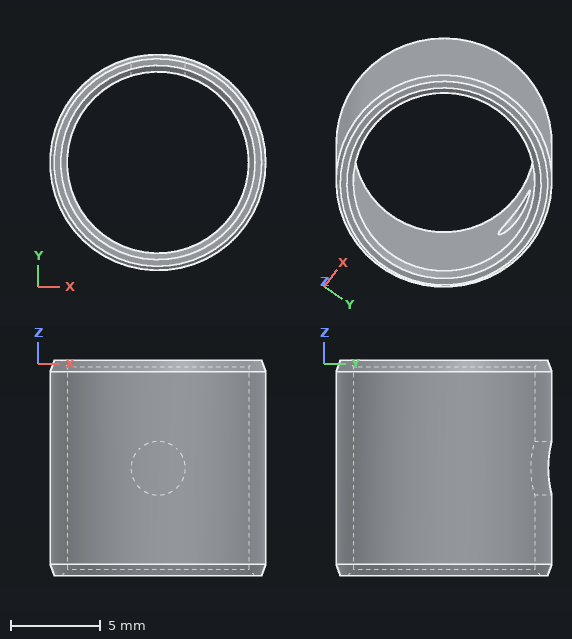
import cadquery as cq
import math

length = 12.0
outer_radius = 6.0
bore_radius = 5.04

outer_chamfer_length = 0.64
outer_chamfer_angle = 20.0
inner_chamfer = 0.36

oil_hole_diameter = 3.0

outer_chamfer_depth = outer_chamfer_length * math.tan(math.radians(outer_chamfer_angle))
end_outer_radius = outer_radius - outer_chamfer_depth
end_inner_radius = bore_radius + inner_chamfer
half_length = length / 2


def make_sleeve():
    """Revolve the chamfered wall section about Z, centred on the origin."""
    wall_section = [
        (end_inner_radius, -half_length),
        (end_outer_radius, -half_length),
        (outer_radius, -half_length + outer_chamfer_length),
        (outer_radius, half_length - outer_chamfer_length),
        (end_outer_radius, half_length),
        (end_inner_radius, half_length),
        (bore_radius, half_length - inner_chamfer),
        (bore_radius, -half_length + inner_chamfer),
    ]
    return cq.Workplane("XZ").polyline(wall_section).close().revolve(360, (0, 0), (0, 1))


def make_oil_hole():
    """Radial cutter from the axis out through the +Y wall at mid length."""
    return cq.Workplane("XZ").circle(oil_hole_diameter / 2).extrude(-2 * outer_radius)


result = make_sleeve().cut(make_oil_hole())